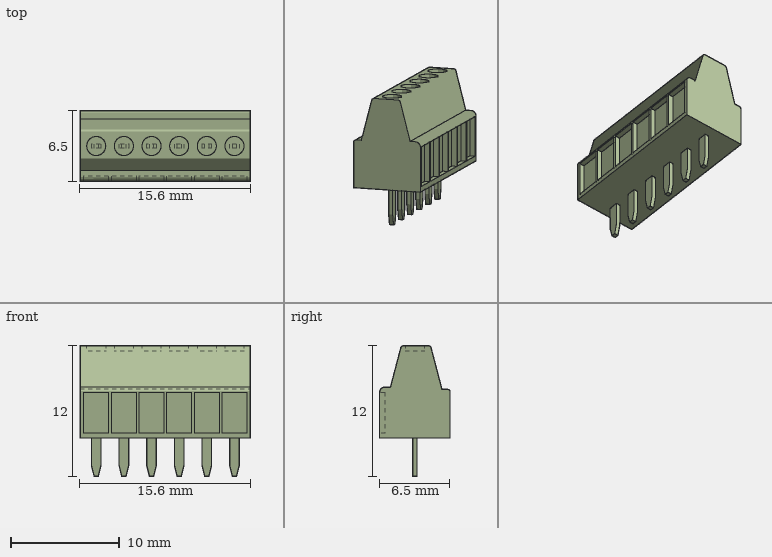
import cadquery as cq


terminal_count = 6
pitch = 2.54
end_margin = 1.47

body_length = (terminal_count - 1) * pitch + 2 * end_margin
body_depth = 6.5
body_height = 8.5
front_y = -body_depth / 2
back_y = body_depth / 2

front_ledge_height = 4.7
front_ledge_width = 1.0
front_edge_radius = 0.5
back_ledge_height = 4.5
back_ledge_width = 0.75
back_edge_radius = 0.25
ridge_front_y = front_y + 2.0
ridge_back_y = back_y - 1.8
ridge_edge_radius = 0.25

screw_hole_diameter = 1.75
screw_hole_depth = 0.5

pocket_width = 2.3
pocket_bottom = 0.5
pocket_top = front_ledge_height - front_edge_radius
pocket_depth = 0.5

pin_length = 3.5
pin_taper_length = 1.0
pin_width = 0.9
pin_tip_width = 0.4
pin_thickness = 0.4

terminal_xs = [(i - (terminal_count - 1) / 2) * pitch for i in range(terminal_count)]


def edge_at(y, z):
    """Select the lengthwise edge closest to the given point of the section."""
    return cq.selectors.NearestToPointSelector((0, y, z))


def make_body():
    """Extrude the stepped section along X, then round its outer edges."""
    section = [
        (front_y, 0),
        (front_y, front_ledge_height),
        (front_y + front_ledge_width, front_ledge_height),
        (ridge_front_y, body_height),
        (ridge_back_y, body_height),
        (back_y - back_ledge_width, back_ledge_height),
        (back_y, back_ledge_height),
        (back_y, 0),
    ]
    body = cq.Workplane("YZ").polyline(section).close().extrude(body_length / 2, both=True)
    body = body.edges(edge_at(front_y, front_ledge_height)).fillet(front_edge_radius)
    body = body.edges(edge_at(back_y, back_ledge_height)).fillet(back_edge_radius)
    for ridge_y in (ridge_front_y, ridge_back_y):
        body = body.edges(edge_at(ridge_y, body_height)).fillet(ridge_edge_radius)
    return body


def make_screw_hole(x):
    """Shallow round recess sunk from the ridge top."""
    floor = cq.Workplane("XY").workplane(offset=body_height - screw_hole_depth)
    return floor.center(x, 0).circle(screw_hole_diameter / 2).extrude(screw_hole_depth)


def make_pocket(x):
    """Rectangular recess sunk from the front face."""
    size = (pocket_width, pocket_depth, pocket_top - pocket_bottom)
    pocket = cq.Workplane("XY").box(*size, centered=(True, False, False))
    return pocket.translate((x, front_y, pocket_bottom))


def make_pin(x):
    """Flat pin below the body, narrowing in width to a blunt tip."""
    taper_start = pin_taper_length - pin_length
    outline = [
        (x - pin_width / 2, 0),
        (x + pin_width / 2, 0),
        (x + pin_width / 2, taper_start),
        (x + pin_tip_width / 2, -pin_length),
        (x - pin_tip_width / 2, -pin_length),
        (x - pin_width / 2, taper_start),
    ]
    return cq.Workplane("XZ").polyline(outline).close().extrude(pin_thickness / 2, both=True)


result = make_body()
for terminal_x in terminal_xs:
    result = result.cut(make_screw_hole(terminal_x))
    result = result.cut(make_pocket(terminal_x))
    result = result.union(make_pin(terminal_x))